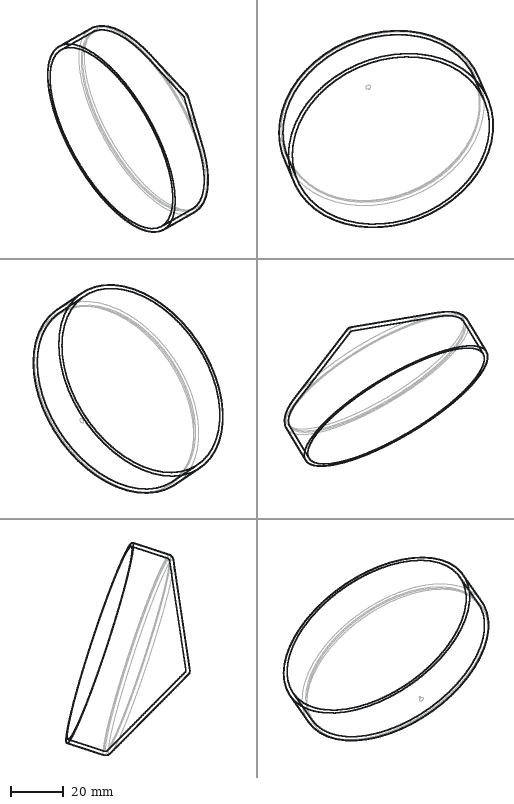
import cadquery as cq
import math

outer_diameter = 80.0
bore_diameter = 77.0
total_height = 36.0
skirt_height = 14.7
rounding_radius = 2.0

outer_radius = outer_diameter / 2
wall = (outer_diameter - bore_diameter) / 2

shoulder_centre = (outer_radius - rounding_radius, skirt_height)
tip_centre = (0.0, total_height - rounding_radius)

cone_angle = math.atan2(tip_centre[1] - shoulder_centre[1], shoulder_centre[0])
cone_normal = math.pi / 2 - cone_angle


def point_on_rounding(centre, radius, angle):
    """Point on a rounding at an angle measured up from the radial direction."""
    return (centre[0] + radius * math.cos(angle), centre[1] + radius * math.sin(angle))


def rounded_cap(radius):
    """Solid cap about the Y axis whose shoulder and tip have the given rounding radius."""
    skirt_radius = shoulder_centre[0] + radius
    return (
        cq.Workplane("XY")
        .moveTo(0, 0)
        .lineTo(skirt_radius, 0)
        .lineTo(skirt_radius, shoulder_centre[1])
        .threePointArc(
            point_on_rounding(shoulder_centre, radius, cone_normal / 2),
            point_on_rounding(shoulder_centre, radius, cone_normal),
        )
        .lineTo(*point_on_rounding(tip_centre, radius, cone_normal))
        .threePointArc(
            point_on_rounding(tip_centre, radius, (cone_normal + math.pi / 2) / 2),
            point_on_rounding(tip_centre, radius, math.pi / 2),
        )
        .close()
        .revolve(360, (0, 0, 0), (0, 1, 0))
    )


outer_body = rounded_cap(rounding_radius)
cavity = rounded_cap(rounding_radius - wall)
result = outer_body.cut(cavity)